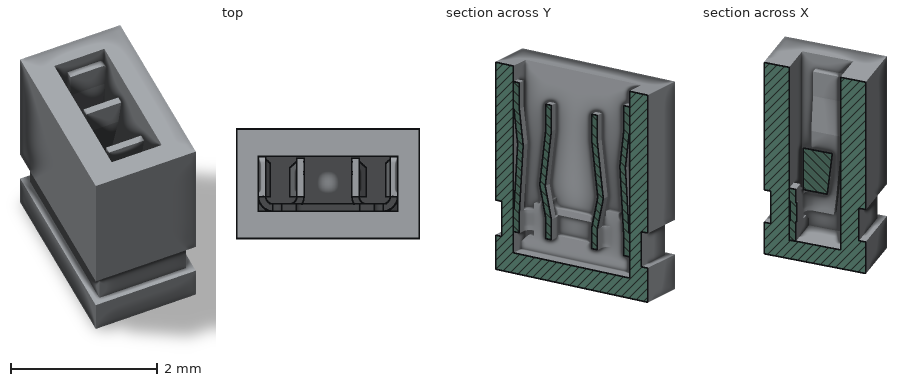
import cadquery as cq
import math

width = 2.5
depth = 1.5
height = 3.0
groove_bottom = height / 6
groove_top = height / 3
groove_depth = 0.1

cavity_width = 1.9
cavity_depth = 0.75
cavity_floor = 0.3

sheet = 0.1
inner_radius = sheet
bend_radius = inner_radius + sheet
plate_front = -cavity_depth / 2
bend_end = plate_front + bend_radius

plate_top = 0.99
plate_half = cavity_width / 2 - bend_radius
foot_height = 0.21
foot_half = cavity_width / 2

tab_center = 0.535
tab_width = 0.198
tab_height = 0.12
tab_fillet = 0.08

bend_bottom = 0.6
bend_top = 0.9

lean = 7.0
taper = 6.5
lead_height = 0.38

outer_back = cavity_width / 2
outer_top = 2.775
outer_tip = 0.378
outer_bulge = 0.063
outer_round = 0.08

inner_back = 0.327
inner_top = 2.55
inner_tip = 0.348
inner_bulge = 0.1

window_half = inner_back + bend_radius


def box(x_size, y_size, z_low, z_high):
    """Box centred on the Z axis between two heights."""
    return cq.Workplane("XY").workplane(offset=z_low).rect(x_size, y_size).extrude(z_high - z_low)


def make_housing():
    body = box(width, depth, 0, height)
    groove = box(width, depth, groove_bottom, groove_top)
    core = box(width - 2 * groove_depth, depth - 2 * groove_depth, groove_bottom, groove_top)
    cavity = box(cavity_width, cavity_depth, cavity_floor, height)
    return body.cut(groove.cut(core)).cut(cavity)


def plate_sketch():
    return cq.Workplane("XZ", origin=(0, plate_front, 0))


def plate_slab(sketch):
    """Close an XZ outline at the plate front and extrude it through the sheet thickness."""
    return sketch.close().extrude(-sheet)


def make_tab(side):
    """Tab on the plate's top edge, with a fillet at each side of its root."""
    half = tab_width / 2
    root = half + tab_fillet
    overlap = plate_top - sheet
    sag = tab_fillet * (1 - math.sqrt(0.5))
    shoulder = plate_top + tab_fillet
    top = plate_top + tab_height
    sketch = (
        plate_sketch()
        .center(side * tab_center, 0)
        .moveTo(-root, overlap)
        .lineTo(-root, plate_top)
        .threePointArc((-half - sag, plate_top + sag), (-half, shoulder))
        .lineTo(-half, top)
        .lineTo(half, top)
        .lineTo(half, shoulder)
        .threePointArc((half + sag, plate_top + sag), (root, plate_top))
        .lineTo(root, overlap)
    )
    return plate_slab(sketch)


def make_plate():
    foot_top = cavity_floor + foot_height
    right_edge = [
        (foot_half, cavity_floor),
        (foot_half, foot_top - sheet),
        (foot_half - sheet, foot_top),
        (plate_half, foot_top),
        (plate_half, plate_top),
    ]
    left_edge = [(-x, z) for x, z in reversed(right_edge)]
    plate = plate_slab(plate_sketch().polyline(right_edge + left_edge))
    window = box(2 * window_half, cavity_depth, bend_bottom, bend_top)
    plate = plate.cut(window)
    for side in (-1, 1):
        plate = plate.union(make_tab(side))
    return plate


def make_arm(back, toward, top, tip, bulge, corner_round):
    """Contact arm whose back face is at X = back, bulging in the X direction toward (+1 or -1)."""
    lean_top = top - lead_height
    crest = lean_top - bulge / math.tan(math.radians(lean))

    inner_face = [
        (sheet, bend_bottom),
        (sheet, bend_top),
        (sheet + bulge, crest),
        (sheet, lean_top),
        (sheet, top),
    ]
    back_face = [(offset - sheet, z) for offset, z in reversed(inner_face)]
    strip_points = [(back + toward * offset, z) for offset, z in inner_face + back_face]
    strip = (
        cq.Workplane("XZ", origin=(0, bend_end, 0))
        .polyline(strip_points)
        .close()
        .extrude(-cavity_depth)
    )

    narrowing = (top - bend_bottom) * math.tan(math.radians(taper))
    outline = (
        cq.Workplane("YZ", origin=(back, 0, 0))
        .polyline([(bend_end, bend_bottom), (tip - narrowing, bend_bottom), (tip, top), (bend_end, top)])
        .close()
        .extrude(cavity_width / 2, both=True)
    )
    if corner_round:
        outline = outline.edges(">Y and |X").fillet(corner_round)

    def bend_point(radius, angle):
        return (
            back + toward * (bend_radius - radius * math.cos(angle)),
            bend_end - radius * math.sin(angle),
        )

    quarter = math.pi / 2
    bend = (
        cq.Workplane("XY", origin=(0, 0, bend_bottom))
        .moveTo(*bend_point(bend_radius, 0))
        .threePointArc(bend_point(bend_radius, quarter / 2), bend_point(bend_radius, quarter))
        .lineTo(*bend_point(inner_radius, quarter))
        .threePointArc(bend_point(inner_radius, quarter / 2), bend_point(inner_radius, 0))
        .close()
        .extrude(bend_top - bend_bottom)
    )
    return strip.intersect(outline).union(bend)


def make_contact():
    contact = make_plate()
    for side in (-1, 1):
        outer = make_arm(side * outer_back, -side, outer_top, outer_tip, outer_bulge, outer_round)
        inner = make_arm(side * inner_back, side, inner_top, inner_tip, inner_bulge, 0)
        contact = contact.union(outer).union(inner)
    return contact


housing = make_housing()
contact = make_contact()
result = cq.Compound.makeCompound([housing.solids().val(), contact.solids().val()])